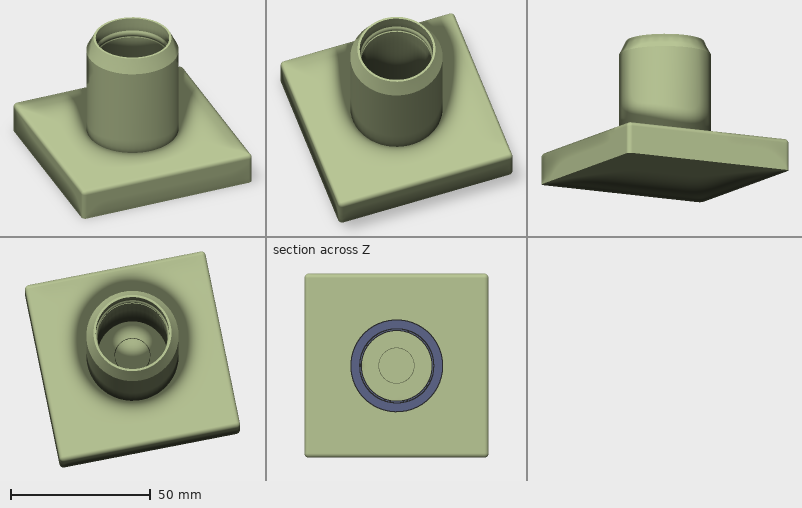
import cadquery as cq

base_side = 65.8
base_height = 11.45
base_rounding = 1.5

total_height = 49.6
column_radius = 16.5
chamfer_height = 5.0
chamfer_inset = 2.55
column_bore_radius = 13.15

ring_section_radius = 1.4
ring_bulge = 0.65
ring_depth = 6.25
ring_center_radius = column_bore_radius - ring_bulge + ring_section_radius
ring_z = total_height - ring_depth

sleeve_bore_radius = 12.55
sleeve_stack_depth = 7.55
upper_sleeve_length = 8.8
sleeve_stack_top_z = total_height - sleeve_stack_depth
sleeve_joint_z = sleeve_stack_top_z - upper_sleeve_length
sleeve_spans = [(base_height, sleeve_joint_z), (sleeve_joint_z, sleeve_stack_top_z)]

pin_radius = 6.25
pin_clearance = 0.2
pin_length = 6.6
pin_bottom_z = base_height - pin_length


def cylinder(radius, bottom_z, top_z):
    """Solid round bar on the Z axis between two heights."""
    return cq.Workplane("XY").workplane(offset=bottom_z).circle(radius).extrude(top_z - bottom_z)


def make_base():
    """Square plate with rounded upright and top edges, and a blind hole for the pin."""
    plate = cq.Workplane("XY").box(base_side, base_side, base_height, centered=(True, True, False))
    plate = plate.edges("|Z or >Z").fillet(base_rounding)
    return plate.cut(cylinder(pin_radius + pin_clearance, pin_bottom_z, base_height))


def make_ring():
    """Full round ring, its section centred in the column wall."""
    section = cq.Workplane("YZ").center(-ring_center_radius, ring_z).circle(ring_section_radius)
    return section.revolve(360, (ring_center_radius, 0), (ring_center_radius, 1))


def make_column():
    """Tube with a tapered top, a straight bore and a groove for the ring."""
    tube = cylinder(column_radius, base_height, total_height)
    tube = tube.faces(">Z").edges().chamfer(chamfer_height, chamfer_inset)
    tube = tube.cut(cylinder(column_bore_radius, base_height, total_height))
    return tube.cut(make_ring())


def make_sleeve(bottom_z, top_z):
    """Thin liner that fills the column bore between two heights."""
    outside = cylinder(column_bore_radius, bottom_z, top_z)
    return outside.cut(cylinder(sleeve_bore_radius, bottom_z, top_z))


base = make_base()
column = make_column()
ring = make_ring()
sleeves = [make_sleeve(bottom_z, top_z).val() for bottom_z, top_z in sleeve_spans]
pin = cylinder(pin_radius, pin_bottom_z, base_height)

result = cq.Compound.makeCompound([base.val(), column.val(), ring.val(), *sleeves, pin.val()])